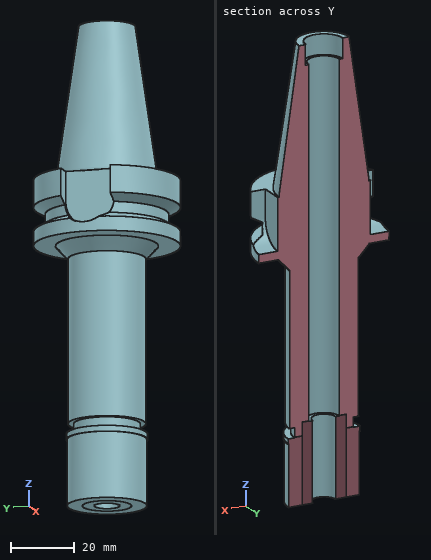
import cadquery as cq

total_height = 153.4
taper_top_radius = 8.9
taper_base_radius = 31.8 / 2
taper_base_height = 105.1

flange_radius = 23.0
flange_top = 104.2
flange_bottom = 83.1
groove_radius = 19.3
groove_upper_edge = 95.4
groove_floor_top = 93.3
groove_floor_bottom = 89.7
groove_lower_edge = 87.7

cone_radius = 16.1
spindle_top = 79.0
spindle_bottom = 26.2
spindle_radius = 24.4 / 2
neck_radius = 10.5

slot_width = 16.3
slot_bottom = 86.2
slot_floor_offset = 16.4

counterbore_radius = 6.5
counterbore_depth = 6.9
bore_radius = 5.4

nut_height = 23.0
nut_radius = 25.0 / 2
collar_radius = 12.7
collar_bottom = 21.2

collet_radius = 7.7
collet_height = 27.6
collet_bore_radius = 4.0


def cylinder(radius, bottom, top):
    """Upright cylinder on the Z axis."""
    return cq.Workplane("XY").workplane(offset=bottom).circle(radius).extrude(top - bottom)


def revolved_holder():
    """Outside of the holder, turned about Z."""
    outline = [
        (0, nut_height),
        (neck_radius, nut_height),
        (neck_radius, spindle_bottom),
        (spindle_radius, spindle_bottom),
        (spindle_radius, spindle_top),
        (cone_radius, flange_bottom),
        (flange_radius, flange_bottom),
        (flange_radius, groove_lower_edge),
        (groove_radius, groove_floor_bottom),
        (groove_radius, groove_floor_top),
        (flange_radius, groove_upper_edge),
        (flange_radius, flange_top),
        (taper_base_radius, flange_top),
        (taper_base_radius, taper_base_height),
        (taper_top_radius, total_height),
        (0, total_height),
    ]
    return cq.Workplane("XZ").polyline(outline).close().revolve(360, (0, 0), (0, 1))


def drive_slot(side):
    """Round-bottomed slot cutter, open at the top, on the +X (1) or -X (-1) side."""
    half_width = slot_width / 2
    arc_center = slot_bottom + half_width
    return (
        cq.Workplane("YZ", origin=(side * slot_floor_offset, 0, 0))
        .moveTo(-half_width, flange_top)
        .lineTo(-half_width, arc_center)
        .threePointArc((0, slot_bottom), (half_width, arc_center))
        .lineTo(half_width, flange_top)
        .close()
        .extrude(side * flange_radius)
    )


def make_holder():
    """Taper, flange and spindle, bored through with a socket for the collet."""
    holder = revolved_holder()
    for side in (-1, 1):
        holder = holder.cut(drive_slot(side))
    holder = holder.cut(cylinder(bore_radius, nut_height, total_height))
    holder = holder.cut(cylinder(counterbore_radius, total_height - counterbore_depth, total_height))
    return holder.cut(cylinder(collet_radius, nut_height, collet_height))


def make_nut():
    """Round nut with a slightly wider collar at its top."""
    nut = cylinder(nut_radius, 0, collar_bottom).union(cylinder(collar_radius, collar_bottom, nut_height))
    return nut.cut(cylinder(collet_radius, 0, nut_height))


def make_collet():
    """Plain sleeve filling the nut and the holder socket."""
    return cylinder(collet_radius, 0, collet_height).cut(cylinder(collet_bore_radius, 0, collet_height))


holder = make_holder()
nut = make_nut()
collet = make_collet()

result = cq.Compound.makeCompound([holder.val(), nut.val(), collet.val()])